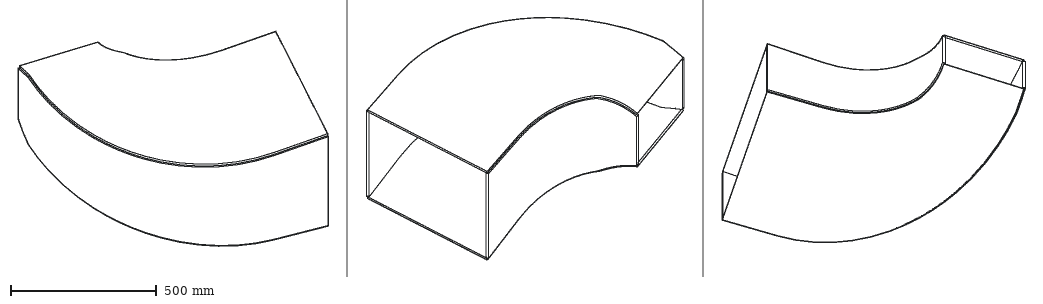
import cadquery as cq
import math


length_x = 750.0
length_y = 850.0
wide_mouth_width = 500.0
narrow_mouth_width = 300.0
straight_length = 200.0

sheet_thickness = 10.0
cover_inset = sheet_thickness / 2

wide_mouth_height = 500.0
narrow_mouth_height = 300.0
taper = math.radians(4)
flange = math.radians(27)
bend_radius = 20.0

y_front = -length_y / 2
y_back = length_y / 2
y_straight = y_back - straight_length
x_inner = length_x - wide_mouth_width
y_inner = y_front + narrow_mouth_width
block_height = 2 * wide_mouth_height


def plan_block(x_radius, y_radius):
    """Tall block inside one side curve: an ellipse continued straight to the wide mouth."""
    curved = (
        cq.Workplane("XY", origin=(0, y_straight, -block_height / 2))
        .ellipse(x_radius, y_radius)
        .extrude(block_height)
    )
    straight = cq.Workplane("XY", origin=(0, y_straight, 0)).box(
        2 * x_radius, straight_length, block_height, centered=(True, False, True)
    )
    return curved.union(straight)


def outer_block(inset):
    return plan_block(length_x - inset, y_straight - y_front - inset)


def inner_block(outset):
    return plan_block(x_inner + outset, y_straight - y_inner + outset)


def height_envelope(inset):
    """Space between the two covers' faces lying `inset` below their outer faces."""
    z_back = wide_mouth_height / 2 - inset / math.cos(taper)
    z_front = z_back - length_y * math.tan(taper)
    z_mouth = narrow_mouth_height / 2 - inset / math.cos(flange)
    z_far = z_mouth + length_x * math.tan(flange)
    tapered = (
        cq.Workplane("YZ")
        .polyline([(y_front, -z_front), (y_back, -z_back), (y_back, z_back), (y_front, z_front)])
        .close()
        .extrude(length_x)
    )
    flared = (
        cq.Workplane("XZ", origin=(0, y_back, 0))
        .polyline([(0, -z_mouth), (length_x, -z_far), (length_x, z_far), (0, z_mouth)])
        .close()
        .extrude(length_y)
    )
    x_bend = (z_front + z_back - 2 * z_mouth) / (2 * math.tan(flange))
    bends = cq.selectors.BoxSelector(
        (x_bend - bend_radius, y_front / 2, -block_height), (x_bend + bend_radius, y_back / 2, block_height)
    )
    return tapered.intersect(flared).edges(bends).fillet(bend_radius - inset)


cover_outer = height_envelope(0)
cover_inner = height_envelope(sheet_thickness)


def make_outer_wall():
    return outer_block(0).cut(outer_block(sheet_thickness)).intersect(cover_inner)


def make_inner_wall():
    return inner_block(sheet_thickness).cut(inner_block(0)).intersect(cover_inner)


def make_top_cover():
    """Bent plate resting on both side walls, its mouth edge square to the flange."""
    upper_half = cq.Workplane().box(
        2 * length_x, 2 * length_y, block_height, centered=(True, True, False)
    )
    mouth_z = narrow_mouth_height / 2
    mouth_trim = (
        cq.Workplane("XZ", origin=(0, y_back, 0))
        .polyline([(0, mouth_z), (0, 0), (mouth_z * math.tan(flange), 0)])
        .close()
        .extrude(length_y)
    )
    plan = outer_block(cover_inset).cut(inner_block(cover_inset))
    return plan.intersect(cover_outer).cut(cover_inner).intersect(upper_half).cut(mouth_trim)


outer_wall = make_outer_wall()
inner_wall = make_inner_wall()
top_cover = make_top_cover()
bottom_cover = top_cover.mirror("XY")

result = cq.Compound.makeCompound([
    outer_wall.solids().val(),
    inner_wall.solids().val(),
    top_cover.solids().val(),
    bottom_cover.solids().val(),
])